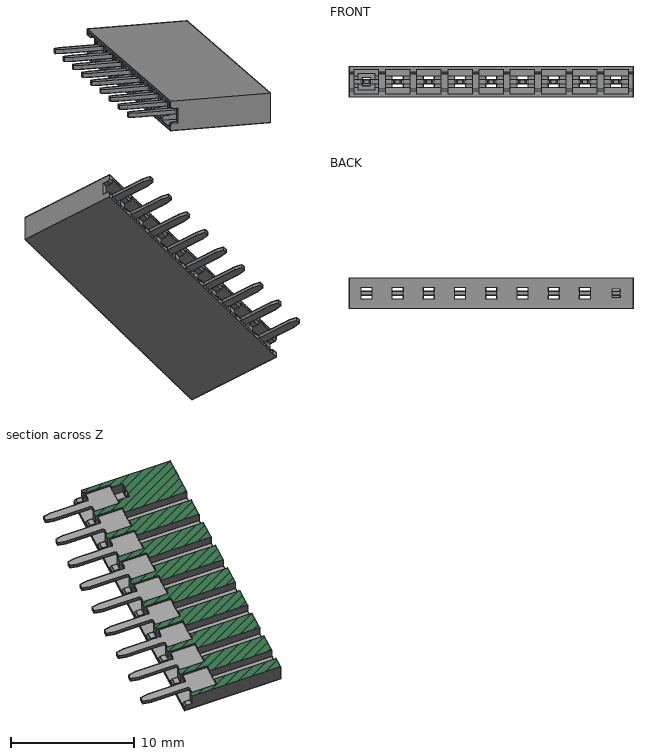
import cadquery as cq
import math

length = 23.1
depth = 8.5
height = 2.5

contact_count = 9
end_allowance = 0.28
pitch = (length - end_allowance) / contact_count
first_position = -(contact_count - 1) / 2 * pitch
positions = [first_position + i * pitch for i in range(contact_count)]

thickness = 0.35
pin_width = 0.65
pin_reach = 3.2
tip_width = 0.4
tip_length = 0.65
root_radius = 0.16
plate_start = 0.85

groove_depth = 0.65
groove_height = 1.22
groove_chamfer = 0.16

pocket_size = 1.99
pocket_floor = 2.0
slot_height = 0.92
slot_floor = 3.0
window_width = 0.88

cavity_size = 1.36
cavity_floor = 4.0
first_window_size = 0.65


def block(x, width, tall, y_start, y_end):
    """Box centred on x and Z = 0, reaching from y_start to y_end."""
    return cq.Workplane("XY").box(width, y_end - y_start, tall).translate((x, (y_start + y_end) / 2, 0))


def groove():
    """Groove along the whole row, with chamfered mouth edges."""
    half = groove_height / 2
    mouth = half + groove_chamfer
    outline = [
        (0, -mouth),
        (groove_chamfer, -half),
        (groove_depth, -half),
        (groove_depth, half),
        (groove_chamfer, half),
        (0, mouth),
    ]
    return cq.Workplane("YZ").polyline(outline).close().extrude(length / 2, both=True)


def opening(x, is_first):
    """Stepped passage through the housing for one contact."""
    passage = block(x, pocket_size, pocket_size, 0, pocket_floor)
    passage = passage.union(block(x, pocket_size, slot_height, 0, slot_floor))
    if is_first:
        passage = passage.union(block(x, cavity_size, cavity_size, 0, cavity_floor))
        return passage.union(block(x, first_window_size, first_window_size, 0, depth))
    return passage.union(block(x, window_width, slot_height, 0, depth))


def contact(x):
    """Flat contact: tapered pin flaring through concave roots into a plate anchored in the housing."""
    half_pin = pin_width / 2
    half_root = half_pin + root_radius
    half_plate = pocket_size / 2
    root_start = plate_start - root_radius
    arc_offset = root_radius * math.sqrt(0.5)
    arc_middle = (half_root - arc_offset, root_start + arc_offset)
    outline = (
        cq.Workplane("XY")
        .moveTo(0, -pin_reach)
        .lineTo(tip_width / 2, -pin_reach)
        .lineTo(half_pin, tip_length - pin_reach)
        .lineTo(half_pin, root_start)
        .threePointArc(arc_middle, (half_root, plate_start))
        .lineTo(half_plate, plate_start)
        .lineTo(half_plate, slot_floor)
        .lineTo(0, slot_floor)
        .mirrorY()
    )
    return outline.extrude(thickness / 2, both=True).translate((x, 0, 0))


result = block(0, length, height, 0, depth).cut(groove())
for index, x in enumerate(positions):
    result = result.cut(opening(x, index == 0))
for x in positions:
    result = result.union(contact(x))